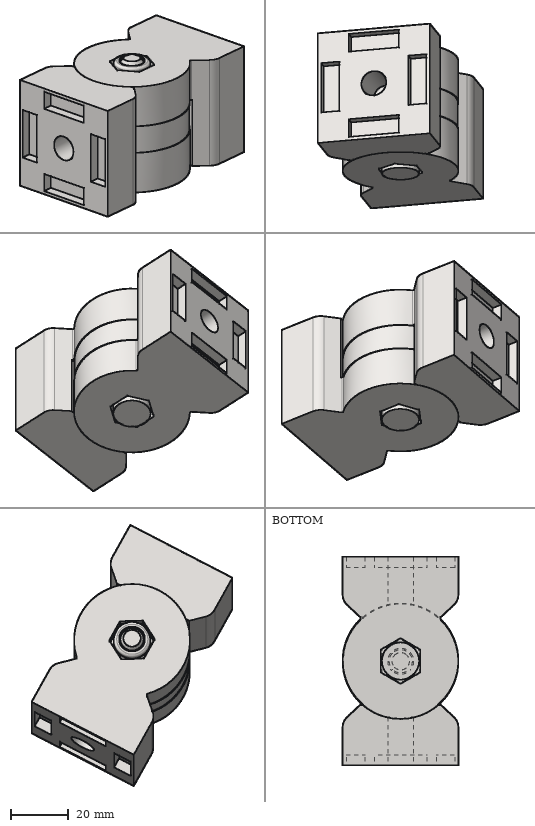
import cadquery as cq
import math


length = 72.0
width = 40.0
shoulder_y = 20.8
shoulder_round = 4.8
neck_y = 14.75
neck_round = 0.5
knuckle_radius = width / 2
spacer_height = 10.0
recess_y = 15.3

end_hole_diameter = 8.85
slot_length = 18.0
slot_width = 6.5
slot_inset = 1.2
slot_depth = 3.6

spacer_radius = 19.8
bolt_diameter = 8.0
bolt_end_diameter = 6.0
bolt_taper_height = 1.4
head_diameter = 12.8
bolt_end_rise = 1.95
hardware_rise = 1.0
hardware_height = 8.0
nut_flats = 12.9
nut_hex_height = 5.4
nut_corner_angle = 30.0
collar_diameter = 12.75
collar_round = 1.0
nut_mouth_diameter = 8.9
hex_pocket_flats = 13.6

half_height = width / 2
half_spacer = spacer_height / 2
pocket_depth = hardware_height - hardware_rise


def hexagon(flats, height):
    """Upright hexagonal prism with two corners on the Y axis, standing on Z = 0."""
    corner_diameter = flats / math.cos(math.radians(30))
    return cq.Workplane("XY").polygon(6, corner_diameter).extrude(height).rotate((0, 0, 0), (0, 0, 1), 90)


def cylinder(diameter, bottom, top):
    """Cylinder on the pivot axis between two heights."""
    return cq.Workplane("XY").workplane(offset=bottom).circle(diameter / 2).extrude(top - bottom)


def make_body_blank():
    """Block and knuckle in one outline, full height, before the swing recess is cut."""
    neck_x = math.sqrt(knuckle_radius**2 - neck_y**2)
    blank = (
        cq.Workplane("XY")
        .workplane(offset=-half_height)
        .moveTo(neck_x, neck_y)
        .lineTo(width / 2, shoulder_y)
        .lineTo(width / 2, length / 2)
        .lineTo(-width / 2, length / 2)
        .lineTo(-width / 2, shoulder_y)
        .lineTo(-neck_x, neck_y)
        .threePointArc((0, -knuckle_radius), (neck_x, neck_y))
        .close()
        .extrude(width)
    )

    def upright_edges(x, y):
        reach = 0.1
        corner = cq.selectors.BoxSelector
        right = corner((x - reach, y - reach, -width), (x + reach, y + reach, width))
        left = corner((-x - reach, y - reach, -width), (-x + reach, y + reach, width))
        return right + left

    blank = blank.edges(upright_edges(width / 2, shoulder_y)).fillet(shoulder_round)
    return blank.edges(upright_edges(neck_x, neck_y)).fillet(neck_round)


def make_end_slots():
    """Four blind slots, one along each side of the end face."""
    slot_center = width / 2 - slot_inset - slot_width / 2
    slot = cq.Workplane("XY").box(slot_length, slot_depth, slot_width)
    slot = slot.translate((0, (length - slot_depth) / 2, slot_center))
    slots = cq.Workplane("XY")
    for turn in range(4):
        slots = slots.add(slot.rotate((0, 0, 0), (0, 1, 0), 90 * turn))
    return slots.combine()


def make_swing_recess():
    """Space below the knuckle for the spacer and the other knuckle."""
    recess_height = half_height + half_spacer
    slab = cq.Workplane("XY").box(width, 2 * recess_y, recess_height, centered=(True, True, False))
    slab = slab.translate((0, 0, -half_height))
    return slab.union(cylinder(2 * knuckle_radius, -half_height, half_spacer))


def make_hinge_half():
    """Half with its block on +Y and its knuckle at the top."""
    half = make_body_blank()
    half = half.cut(make_swing_recess())
    half = half.cut(make_end_slots())
    end_hole = cq.Workplane("XZ").circle(end_hole_diameter / 2).extrude(-length / 2)
    half = half.cut(end_hole)
    half = half.cut(cylinder(bolt_diameter, half_spacer, half_height))
    hex_pocket = hexagon(hex_pocket_flats, pocket_depth)
    return half.cut(hex_pocket.translate((0, 0, half_height - pocket_depth)))


def make_spacer():
    disc = cylinder(2 * spacer_radius, -half_spacer, half_spacer)
    return disc.cut(cylinder(bolt_diameter, -half_spacer, half_spacer))


def make_bolt():
    """Bolt with a round head at the bottom and a tapered end at the top."""
    bottom = -half_height - hardware_rise
    top = half_height + bolt_end_rise
    profile = [
        (0, bottom),
        (head_diameter / 2, bottom),
        (head_diameter / 2, bottom + hardware_height),
        (bolt_diameter / 2, bottom + hardware_height),
        (bolt_diameter / 2, top - bolt_taper_height),
        (bolt_end_diameter / 2, top),
        (0, top),
    ]
    return cq.Workplane("XZ").polyline(profile).close().revolve(360, (0, 0, 0), (0, 1, 0))


def make_nut():
    """Hexagon nut with bevelled corners and a rounded collar on top."""
    hex_radius = nut_flats / math.cos(math.radians(30)) / 2
    collar_radius = collar_diameter / 2
    bevel_drop = (hex_radius - collar_radius) * math.tan(math.radians(nut_corner_angle))
    envelope = (
        cq.Workplane("XZ")
        .moveTo(0, 0)
        .lineTo(hex_radius, 0)
        .lineTo(hex_radius, nut_hex_height - bevel_drop)
        .lineTo(collar_radius, nut_hex_height)
        .lineTo(collar_radius, hardware_height)
        .lineTo(0, hardware_height)
        .close()
        .revolve(360, (0, 0, 0), (0, 1, 0))
    )
    nut = hexagon(nut_flats, hardware_height).intersect(envelope)
    nut = nut.faces(">Z").edges().fillet(collar_round)
    nut = nut.cut(cylinder(bolt_diameter, 0, hardware_height))
    nut = nut.faces(">Z").edges("%CIRCLE").edges(cq.selectors.RadiusNthSelector(0))
    nut = nut.chamfer((nut_mouth_diameter - bolt_diameter) / 2)
    return nut.translate((0, 0, half_height - pocket_depth))


upper_half = make_hinge_half()
hinge_halves = [upper_half.rotate((0, 0, 0), (1, 0, 0), turn) for turn in (0, 180)]
spacer = make_spacer()
bolt = make_bolt()
nut = make_nut()

result = cq.Compound.makeCompound(
    [*[half.val() for half in hinge_halves], spacer.val(), bolt.val(), nut.val()]
)